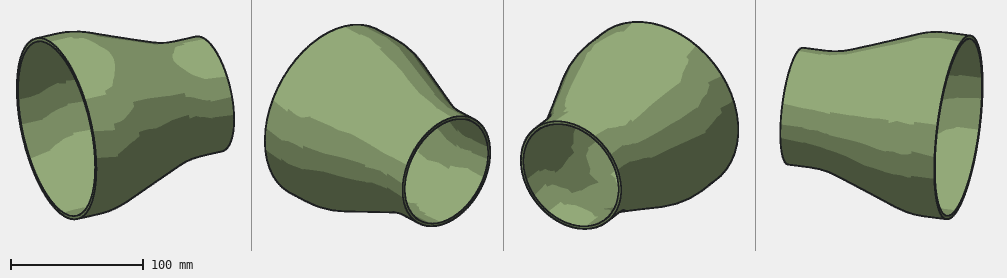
import cadquery as cq
import math

length = 127.0
large_outer_diameter = 139.7
large_inner_diameter = 134.5
small_outer_diameter = 88.9
small_inner_diameter = 84.3
collar_length = 18.0
blend_radius = 60.0

small_collar_start = length - collar_length
taper_length = length - 2 * collar_length


def taper_angle(radius_drop):
    """Half angle of the cone that runs tangent into both blend arcs."""
    centre_rise = 2 * blend_radius - radius_drop
    cone_side = math.sqrt(taper_length**2 + centre_rise**2 - (2 * blend_radius)**2)
    return math.atan2(2 * blend_radius, cone_side) - math.atan2(centre_rise, taper_length)


def reducer_body(large_diameter, small_diameter):
    """Solid of revolution: cylinder, arc, cone, arc, cylinder."""
    large_radius = large_diameter / 2
    small_radius = small_diameter / 2
    angle = taper_angle(large_radius - small_radius)

    def large_blend(a):
        return (
            large_radius - blend_radius * (1 - math.cos(a)),
            collar_length + blend_radius * math.sin(a),
        )

    def small_blend(a):
        return (
            small_radius + blend_radius * (1 - math.cos(a)),
            small_collar_start - blend_radius * math.sin(a),
        )

    return (
        cq.Workplane("XY")
        .moveTo(0, 0)
        .lineTo(large_radius, 0)
        .lineTo(large_radius, collar_length)
        .threePointArc(large_blend(angle / 2), large_blend(angle))
        .lineTo(*small_blend(angle))
        .threePointArc(small_blend(angle / 2), (small_radius, small_collar_start))
        .lineTo(small_radius, length)
        .lineTo(0, length)
        .close()
        .revolve(360, (0, 0, 0), (0, 1, 0))
    )


outer_body = reducer_body(large_outer_diameter, small_outer_diameter)
bore = reducer_body(large_inner_diameter, small_inner_diameter)

result = outer_body.cut(bore)